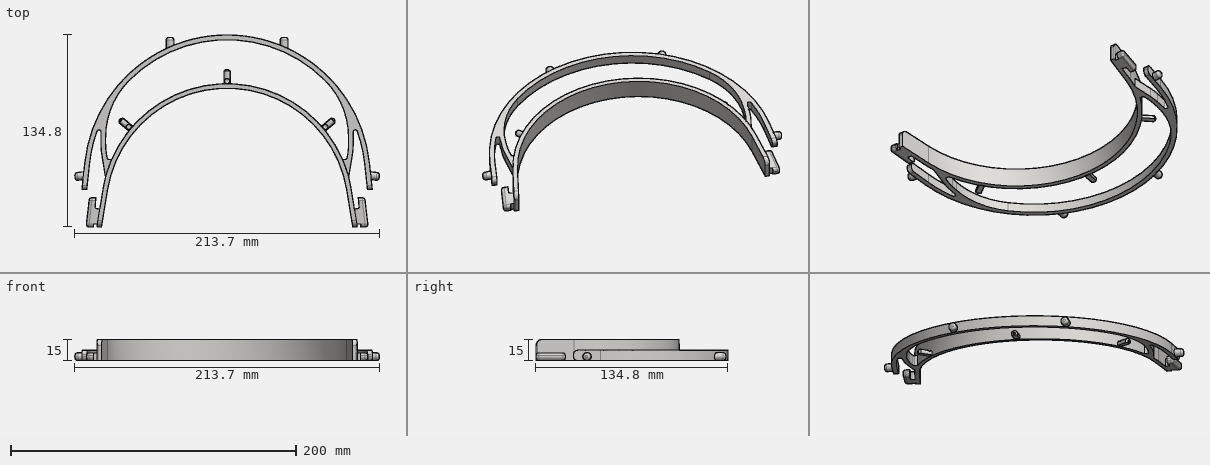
import cadquery as cq
import math

FULL_HEIGHT = 15.0
HOOP_HEIGHT = 7.3
HOOK_HEIGHT = 5.5

HOOP_OUTER_R = 100.4
HOOP_THICKNESS = 3.5
HOOP_INNER_R = HOOP_OUTER_R - HOOP_THICKNESS
TIP_ANGLE = math.radians(6.2)
TIP_END_Y = -8.1
TIP_END_FILLET = 3.0

BAND_CENTRE_Y = -22.0
BAND_OUTER_R = 88.2
BAND_THICKNESS = 3.3
BAND_INNER_R = BAND_OUTER_R - BAND_THICKNESS
LEG_ANGLE = math.radians(9.3)
LEG_END_Y = -34.36
LEG_TOP_FILLET = 4.5
LEG_CORNER_FILLET = 0.8

BLEND_R = 56.6
BLEND_ANGLE = math.radians(45)
STRUT_THICKNESS = 3.4
STRUT_BEND_Y = 24.0
STRUT_BEND_R = 50.0
STRUT_LEAN = math.radians(9.4)
STRUT_END_Y = 0.0
SLOT_TOP_Y = 33.7
SLOT_TOP_RISE = 1.2
LEDGE_Y = 13.1
LEDGE_FILLET = 1.0

HOOK_TOP_Y = -13.8
HOOK_TOP_X = (-96.6, -91.9)
HOOK_FOOT_X = (-99.0, -93.7)
HOOK_EDGE_FILLET = 2.0
BRIDGE_TOP_Y = -21.3
BRIDGE_TOP_FALL = 0.7
BRIDGE_BOTTOM_Y = -32.3
BRIDGE_CORNER_R = 1.0

HOOP_PEG_R = 2.8
HOOP_PEG_CAP_R = 2.0
HOOP_PEG_X = 40.0
HOOP_PEG_TOP_Y = 98.7
TIP_PEG_Y = 1.8
TIP_PEG_LENGTH = 6.0
BAND_PEG_R = 2.25
BAND_PEG_Z = 1.7
BAND_PEG_FLAT_Z = 0.5
BAND_PEG_TIP_R = 98.2
BAND_PEG_CONE_LENGTH = 1.2
BAND_PEG_CONE_DEPTH = 1.5
BAND_PEG_GROOVE_R = 2.2
BAND_PEG_GROOVE_DEPTH = 0.8
BAND_PEG_GROOVE_OFFSET = 1.8
BAND_PEG_SPREAD = 50


def on_circle(radius, angle, centre=(0.0, 0.0)):
    """Point on the left half of a circle, at an angle above the -X direction."""
    return (centre[0] - radius * math.cos(angle), centre[1] + radius * math.sin(angle))


def down_to(point, angle, y):
    """Point at height y on the straight that leaves a point downward, leaning outward by an angle."""
    return (point[0] - (point[1] - y) * math.tan(angle), y)


def left_hoop():
    """Left half of the hoop, with its tip and the strut to the head band."""
    tip_start_out = on_circle(HOOP_OUTER_R, TIP_ANGLE)
    tip_start_in = on_circle(HOOP_INNER_R, TIP_ANGLE)

    blend_centre = on_circle(HOOP_INNER_R - BLEND_R, BLEND_ANGLE)
    blend_mid = on_circle(BLEND_R, BLEND_ANGLE / 2, blend_centre)
    blend_end = on_circle(HOOP_INNER_R, BLEND_ANGLE)
    strut_in_x = blend_centre[0] - BLEND_R
    strut_out_x = strut_in_x - STRUT_THICKNESS

    slot_left_y = SLOT_TOP_Y - SLOT_TOP_RISE
    slot_left_x = -math.sqrt(HOOP_INNER_R**2 - slot_left_y**2)
    slot_mid_x = (slot_left_x + strut_out_x) / 2

    bend_centre = (strut_out_x + STRUT_BEND_R, STRUT_BEND_Y)
    bend_mid = on_circle(STRUT_BEND_R, -STRUT_LEAN / 2, bend_centre)
    bend_end = on_circle(STRUT_BEND_R, -STRUT_LEAN, bend_centre)

    inner_bend_r = STRUT_BEND_R - STRUT_THICKNESS
    ledge_angle = math.asin((STRUT_BEND_Y - LEDGE_Y) / inner_bend_r)
    ledge_corner = on_circle(inner_bend_r, -ledge_angle, bend_centre)

    def band_mid_x(y):
        """X on the middle line of the head band, where the strut ends inside it."""
        middle_r = BAND_OUTER_R - BAND_THICKNESS / 2
        return -math.sqrt(middle_r**2 - (y - BAND_CENTRE_Y) ** 2)

    outline = (
        cq.Workplane("XY")
        .moveTo(0, HOOP_OUTER_R)
        .threePointArc(on_circle(HOOP_OUTER_R, BLEND_ANGLE), tip_start_out)
        .lineTo(*down_to(tip_start_out, TIP_ANGLE, TIP_END_Y))
        .lineTo(*down_to(tip_start_in, TIP_ANGLE, TIP_END_Y))
        .lineTo(*tip_start_in)
        .threePointArc(on_circle(HOOP_INNER_R, 2 * TIP_ANGLE), (slot_left_x, slot_left_y))
        .threePointArc((slot_mid_x, SLOT_TOP_Y), (strut_out_x, slot_left_y))
        .lineTo(strut_out_x, STRUT_BEND_Y)
        .threePointArc(bend_mid, bend_end)
        .lineTo(*down_to(bend_end, -STRUT_LEAN, STRUT_END_Y))
        .lineTo(band_mid_x(STRUT_END_Y), STRUT_END_Y)
        .lineTo(band_mid_x(LEDGE_Y), LEDGE_Y)
        .lineTo(*ledge_corner)
        .threePointArc(on_circle(inner_bend_r, -ledge_angle / 2, bend_centre), (strut_in_x, STRUT_BEND_Y))
        .lineTo(strut_in_x, blend_centre[1])
        .threePointArc(blend_mid, blend_end)
        .threePointArc(on_circle(HOOP_INNER_R, 1.5 * BLEND_ANGLE), (0, HOOP_INNER_R))
        .close()
    )
    hoop = outline.extrude(HOOP_HEIGHT)
    hoop = hoop.edges("|Z").edges(cq.selectors.NearestToPointSelector((*ledge_corner, HOOP_HEIGHT / 2)))
    hoop = hoop.fillet(LEDGE_FILLET)
    return hoop.faces("<Y").edges("not |Z").fillet(TIP_END_FILLET)


def left_band():
    """Left half of the head band, with its leg."""
    centre = (0, BAND_CENTRE_Y)
    leg_out = on_circle(BAND_OUTER_R, LEG_ANGLE, centre)
    leg_in = on_circle(BAND_INNER_R, LEG_ANGLE, centre)
    middle = math.radians(45)
    band = (
        cq.Workplane("XY")
        .moveTo(0, BAND_CENTRE_Y + BAND_OUTER_R)
        .threePointArc(on_circle(BAND_OUTER_R, middle, centre), leg_out)
        .lineTo(*down_to(leg_out, LEG_ANGLE, LEG_END_Y))
        .lineTo(*down_to(leg_in, LEG_ANGLE, LEG_END_Y))
        .lineTo(*leg_in)
        .threePointArc(on_circle(BAND_INNER_R, middle, centre), (0, BAND_CENTRE_Y + BAND_INNER_R))
        .close()
        .extrude(FULL_HEIGHT)
    )
    band = band.faces("<Y").edges("<X").fillet(LEG_CORNER_FILLET)
    top_corner = (
        cq.Workplane("YZ")
        .moveTo(LEG_END_Y, FULL_HEIGHT)
        .lineTo(LEG_END_Y, FULL_HEIGHT - LEG_TOP_FILLET)
        .radiusArc((LEG_END_Y + LEG_TOP_FILLET, FULL_HEIGHT), LEG_TOP_FILLET)
        .close()
        .extrude(-HOOP_OUTER_R)
    )
    return band.cut(top_corner)


def left_hook():
    """Rounded bar outside the left leg and the bridge that carries it."""
    bar = (
        cq.Workplane("XY")
        .moveTo(HOOK_TOP_X[0], HOOK_TOP_Y)
        .lineTo(HOOK_TOP_X[1], HOOK_TOP_Y)
        .lineTo(HOOK_FOOT_X[1], LEG_END_Y)
        .lineTo(HOOK_FOOT_X[0], LEG_END_Y)
        .close()
        .extrude(HOOK_HEIGHT)
    )
    bar = bar.faces("<X").edges().add(bar.edges("|X")).fillet(HOOK_EDGE_FILLET)

    bar_lean = (HOOK_TOP_X[1] - HOOK_FOOT_X[1]) / (HOOK_TOP_Y - LEG_END_Y)
    corner_x = HOOK_TOP_X[1] - bar_lean * (HOOK_TOP_Y - BRIDGE_TOP_Y)
    bar_middle_x = corner_x - (HOOK_TOP_X[1] - HOOK_TOP_X[0]) / 2
    leg_start = on_circle(BAND_OUTER_R - BAND_THICKNESS / 2, LEG_ANGLE, (0, BAND_CENTRE_Y))
    bridge = (
        cq.Workplane("XY")
        .moveTo(bar_middle_x, BRIDGE_TOP_Y + BRIDGE_CORNER_R)
        .lineTo(corner_x, BRIDGE_TOP_Y + BRIDGE_CORNER_R)
        .radiusArc((corner_x + BRIDGE_CORNER_R, BRIDGE_TOP_Y), -BRIDGE_CORNER_R)
        .lineTo(*down_to(leg_start, LEG_ANGLE, BRIDGE_TOP_Y - BRIDGE_TOP_FALL))
        .lineTo(*down_to(leg_start, LEG_ANGLE, BRIDGE_BOTTOM_Y))
        .lineTo(bar_middle_x, BRIDGE_BOTTOM_Y)
        .close()
        .extrude(HOOK_HEIGHT)
    )
    return bar.union(bridge)


def hoop_peg(base, direction, length):
    """Level round-capped peg resting on the underside plane."""
    along = cq.Vector(direction[0], direction[1], 0)
    plane = cq.Plane(origin=(base[0], base[1], HOOP_PEG_R), normal=along)
    peg = cq.Workplane(plane).circle(HOOP_PEG_R).extrude(length)
    cap = cq.selectors.DirectionMinMaxSelector(along, True)
    return peg.faces(cap).edges().fillet(HOOP_PEG_CAP_R)


def band_peg(angle):
    """Pointed peg standing radially on the head band; the angle is measured from +Y.

    It is cut flat on the underside and has a groove across its top, next to the band.
    """
    root_r = BAND_OUTER_R - BAND_THICKNESS / 2
    length = BAND_PEG_TIP_R - root_r
    peg = (
        cq.Workplane("XZ", origin=(0, BAND_CENTRE_Y + root_r, BAND_PEG_Z))
        .circle(BAND_PEG_R)
        .extrude(-length)
        .faces(">Y")
        .chamfer(BAND_PEG_CONE_LENGTH, BAND_PEG_CONE_DEPTH)
    )
    below = (
        cq.Workplane("XY", origin=(0, BAND_CENTRE_Y + root_r, BAND_PEG_FLAT_Z))
        .rect(4 * BAND_PEG_R, 3 * length)
        .extrude(-BAND_PEG_R)
    )
    groove_y = BAND_CENTRE_Y + BAND_OUTER_R + BAND_PEG_GROOVE_OFFSET
    groove_z = BAND_PEG_Z + BAND_PEG_R - BAND_PEG_GROOVE_DEPTH + BAND_PEG_GROOVE_R
    groove = (
        cq.Workplane("YZ", origin=(0, groove_y, groove_z))
        .circle(BAND_PEG_GROOVE_R)
        .extrude(2 * BAND_PEG_R, both=True)
    )
    peg = peg.cut(below).cut(groove)
    return peg.rotate((0, BAND_CENTRE_Y, 0), (0, BAND_CENTRE_Y, 1), angle)


def both_sides(left_part):
    """A part of the left half joined to its mirror image."""
    return left_part.union(left_part.mirror("YZ"))


hoop_middle_r = HOOP_OUTER_R - HOOP_THICKNESS / 2
peg_base_y = math.sqrt(hoop_middle_r**2 - HOOP_PEG_X**2)
tip_middle = on_circle(hoop_middle_r, TIP_ANGLE)
tip_peg_base = down_to(tip_middle, TIP_ANGLE, TIP_PEG_Y)
tip_peg = hoop_peg(
    tip_peg_base,
    (-math.cos(TIP_ANGLE), -math.sin(TIP_ANGLE)),
    TIP_PEG_LENGTH + HOOP_THICKNESS / 2,
)
front_peg = hoop_peg((-HOOP_PEG_X, peg_base_y), (0, 1), HOOP_PEG_TOP_Y - peg_base_y)

result = both_sides(left_band()).union(both_sides(left_hoop())).union(band_peg(0))
for part in (left_hook(), tip_peg, front_peg, band_peg(BAND_PEG_SPREAD)):
    result = result.union(part).union(part.mirror("YZ"))